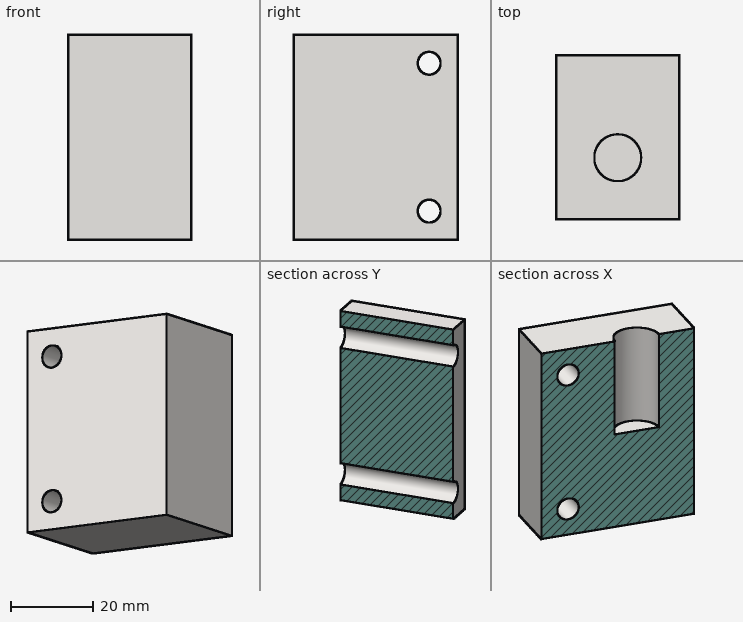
import cadquery as cq

width = 30.0
depth = 40.0
height = 50.0

port_diameter = 11.45
port_depth = 25.0
port_from_front = 15.0

mount_diameter = 5.5
mount_edge_distance = 7.0

port_y = -depth / 2 + port_from_front
mount_y = depth / 2 - mount_edge_distance
mount_heights = (mount_edge_distance, height - mount_edge_distance)


def make_block():
    return cq.Workplane("XY").box(width, depth, height, centered=(True, True, False))


def make_port():
    """Flat-bottomed port opening on the top face."""
    floor = cq.Workplane("XY").workplane(offset=height - port_depth)
    return floor.center(0, port_y).circle(port_diameter / 2).extrude(port_depth)


def make_mount_holes():
    """Two holes running the full width of the block."""
    points = [(mount_y, z) for z in mount_heights]
    side = cq.Workplane("YZ").workplane(offset=-width / 2)
    return side.pushPoints(points).circle(mount_diameter / 2).extrude(width)


result = make_block().cut(make_port()).cut(make_mount_holes())